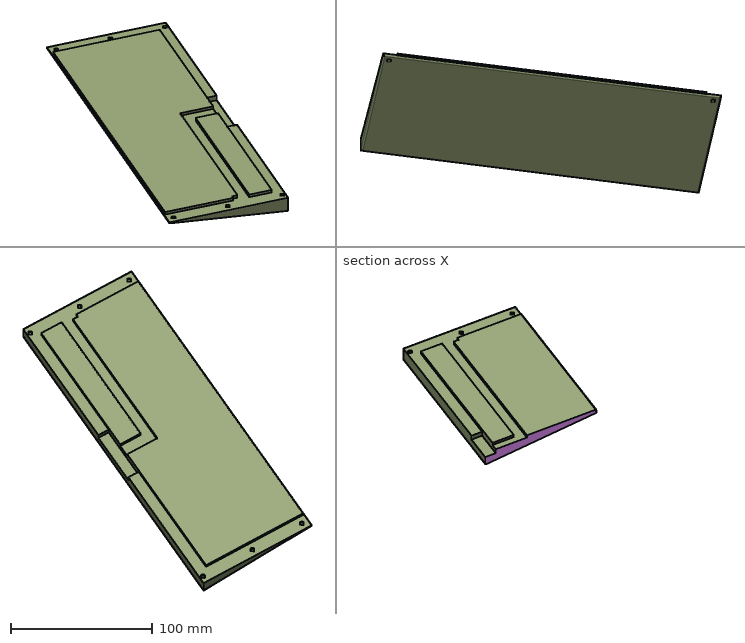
import cadquery as cq
import math

LENGTH = 243.2
DEPTH = 90.0
HEIGHT = 13.9

PANEL_HEIGHT = 2.2
PANEL_SIDE_MARGIN = 10.5
PANEL_FRONT_MARGIN = 0.7
PANEL_BACK_MARGIN = 8.5
PANEL_BACK = DEPTH - PANEL_BACK_MARGIN
PANEL_RIGHT = LENGTH - PANEL_SIDE_MARGIN

CUTOUT_LEFT = 116.7
CUTOUT_FRONT = 56.5
STEP_WIDTH = 2.2
STEP_FRONT = 52.3
ISLAND_LEFT = 126.2
ISLAND_FRONT = 64.5

UNDERSIDE_ANGLE = 6.5
UNDERSIDE_RADIUS = 1.34
UNDERSIDE_SLOPE = math.tan(math.radians(UNDERSIDE_ANGLE))
ROUNDING_LOSS = UNDERSIDE_RADIUS * (UNDERSIDE_SLOPE + 1 / math.cos(math.radians(UNDERSIDE_ANGLE)) - 1)
BACK_THICKNESS = HEIGHT - PANEL_HEIGHT + ROUNDING_LOSS
FRONT_THICKNESS = BACK_THICKNESS - DEPTH * UNDERSIDE_SLOPE

NOTCH_WIDTH = 40.4
NOTCH_DROP = 4.0

HOLE_DIAMETER = 3.0
HOLE_DEPTH = 1.5
HOLE_SIDE_MARGIN = 5.0
HOLE_MIDDLE_Y = 46.2
HOLE_PITCH = 41.0


def block(left, right, front, back, bottom, top):
    """Box given by its limits along X, Y and Z."""
    return cq.Workplane("XY").box(right - left, back - front, top - bottom, centered=False).translate(
        (left, front, bottom)
    )


def wedge_body():
    """Tapered body with its underside edges rounded all the way round."""
    profile = [(0, 0), (DEPTH, 0), (DEPTH, -BACK_THICKNESS), (0, -FRONT_THICKNESS)]
    wedge = cq.Workplane("YZ").polyline(profile).close().extrude(LENGTH)
    return wedge.faces("<Z").edges().fillet(UNDERSIDE_RADIUS)


def raised_panel():
    """Stepped panel outline that leaves the back right corner open."""
    outline = [
        (PANEL_SIDE_MARGIN, PANEL_FRONT_MARGIN),
        (PANEL_RIGHT, PANEL_FRONT_MARGIN),
        (PANEL_RIGHT, STEP_FRONT),
        (PANEL_RIGHT - STEP_WIDTH, STEP_FRONT),
        (PANEL_RIGHT - STEP_WIDTH, CUTOUT_FRONT),
        (CUTOUT_LEFT, CUTOUT_FRONT),
        (CUTOUT_LEFT, PANEL_BACK),
        (PANEL_SIDE_MARGIN, PANEL_BACK),
    ]
    return cq.Workplane("XY").polyline(outline).close().extrude(PANEL_HEIGHT)


def island():
    """Raised strip at the back right, level with the panel."""
    return block(ISLAND_LEFT, PANEL_RIGHT, ISLAND_FRONT, PANEL_BACK, 0, PANEL_HEIGHT)


def back_notch():
    """Cutter for the recess between the panel and the back edge."""
    left = (LENGTH - NOTCH_WIDTH) / 2
    return block(left, left + NOTCH_WIDTH, PANEL_BACK, DEPTH, -NOTCH_DROP, 0)


def screw_holes():
    """Cutters for the blind holes in the deck."""
    centers = [
        (x, HOLE_MIDDLE_Y + row * HOLE_PITCH)
        for x in (HOLE_SIDE_MARGIN, LENGTH - HOLE_SIDE_MARGIN)
        for row in (-1, 0, 1)
    ]
    return cq.Workplane("XY").pushPoints(centers).circle(HOLE_DIAMETER / 2).extrude(-HOLE_DEPTH)


result = wedge_body().union(raised_panel()).union(island()).cut(back_notch()).cut(screw_holes())